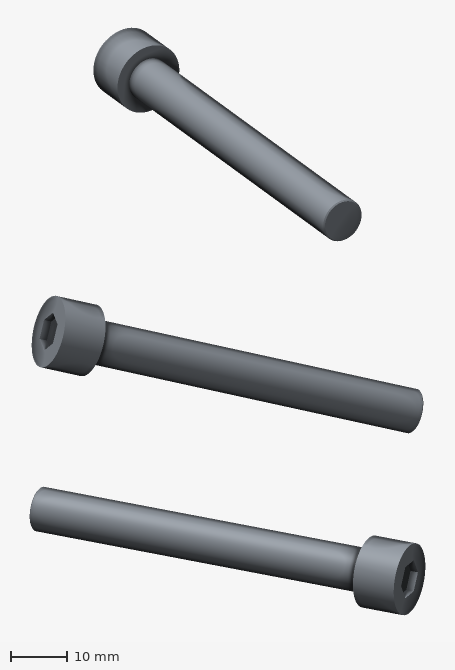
import cadquery as cq

total_length = 73.0
shank_diameter = 8.0
head_diameter = 13.0
head_height = shank_diameter
socket_across_flats = 6.0
socket_depth = 1.45
tip_chamfer = 0.2

HEX_FLATS_TO_CORNERS = 2 / 3**0.5


def make_head():
    return cq.Workplane("YZ").circle(head_diameter / 2).extrude(head_height)


def make_shank():
    shank = cq.Workplane("YZ").circle(shank_diameter / 2).extrude(total_length)
    return shank.faces(">X").chamfer(tip_chamfer)


def make_socket():
    across_corners = socket_across_flats * HEX_FLATS_TO_CORNERS
    return cq.Workplane("YZ").polygon(6, across_corners).extrude(socket_depth)


result = make_head().union(make_shank()).cut(make_socket())